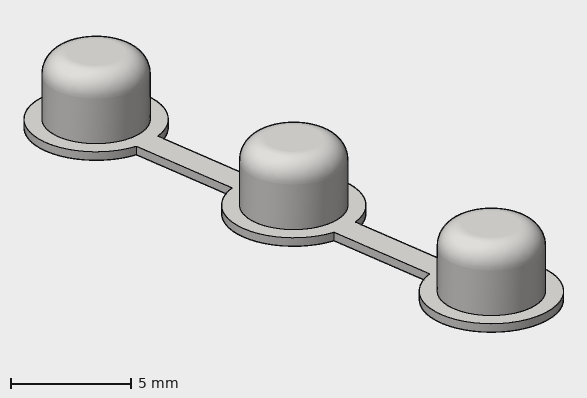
import cadquery as cq

total_length = 28.72
flange_diameter = 6.0
total_height = 3.5
flange_thickness = 0.4
cap_diameter = 4.5
cap_edge_radius = 1.0
strap_width = 1.3
cap_count = 3

end_distance = total_length - flange_diameter
pitch = end_distance / (cap_count - 1)
cap_centers = [(i * pitch - end_distance / 2, 0) for i in range(cap_count)]


def make_strap():
    """Flat strip joining the flanges, running between the end centers."""
    return cq.Workplane("XY").box(
        end_distance, strap_width, flange_thickness, centered=(True, True, False)
    )


def make_cap():
    """Round flange carrying a cylindrical cap with a rounded top edge."""
    flange = cq.Workplane("XY").circle(flange_diameter / 2).extrude(flange_thickness)
    cap = cq.Workplane("XY").circle(cap_diameter / 2).extrude(total_height)
    cap = cap.faces(">Z").edges().fillet(cap_edge_radius)
    return flange.union(cap)


result = make_strap()
for x, y in cap_centers:
    result = result.union(make_cap().translate((x, y, 0)))